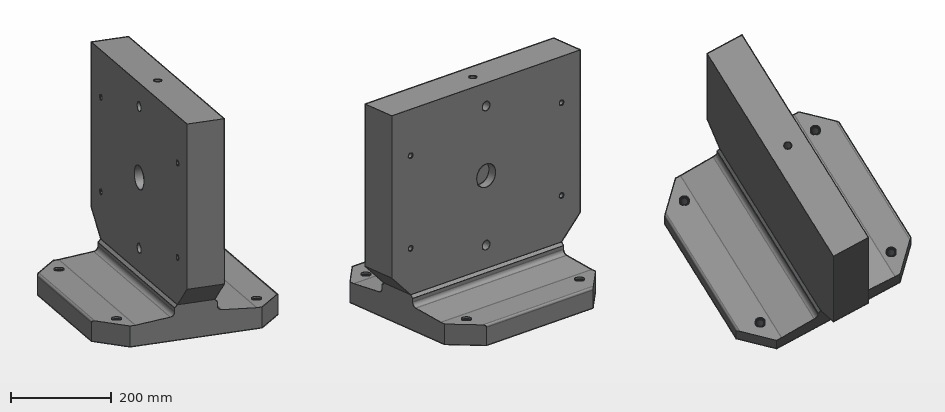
import math

import cadquery as cq

FOOT_SIZE = 400.0
PLATE_WIDTH = 500.0
PLATE_THICKNESS = 80.0
TOTAL_HEIGHT = 475.0

FOOT_HEIGHT = 44.5
FOOT_RIM_Y = 130.0
FOOT_SLOPE = math.radians(5.0)
FOOT_CORNER_CUT = FOOT_SIZE * (1 - 1 / math.sqrt(2)) / 2
FOOT_EDGE_RADIUS = 5.0

NECK_CHAMFER = 6.0
NECK_FILLET = 10.0
NECK_TOP = 75.0
NECK_HALF = PLATE_THICKNESS / 2 + NECK_CHAMFER

PLATE_CORNER_CUT = (PLATE_WIDTH - FOOT_SIZE) / 2
PLATE_CENTER_Z = (NECK_TOP + TOTAL_HEIGHT) / 2

BOLT_SPACING = 300.0
BOLT_RECESS_DIAMETER = 20.0
BOLT_RECESS_DEPTH = 4.0

BORE_DIAMETER = 50.0
BORE_DEPTH = 20.0
PIN_DIAMETER = 20.0
PIN_DEPTH = 30.0
PIN_SPACING = 300.0

DRILL_POINT_ANGLE = math.radians(118.0)
COUNTERSINK = 1.0
SMALL_TAP_DIAMETER = 10.0
LARGE_TAP_DIAMETER = 14.0
FACE_HOLE_DEPTH = 24.0
FACE_HOLE_SPACING_X = 400.0
FACE_HOLE_SPACING_Z = 200.0
LIFT_HOLE_DEPTH = 32.0

INWARD = cq.Vector(0, 1, 0)
DOWN = cq.Vector(0, 0, -1)

PICK_MARGIN = 1.0


def edges_along_x(y, z):
    """Selector for the full-length foot edge running along X at the given y and z."""
    half = FOOT_SIZE / 2
    return cq.selectors.BoxSelector(
        (-half, y - PICK_MARGIN, z - PICK_MARGIN),
        (half, y + PICK_MARGIN, z + PICK_MARGIN),
    )


def make_foot():
    """Sloped foot with the neck on top, its cross-section running along X."""
    half = FOOT_SIZE / 2
    slope_top = FOOT_HEIGHT + (FOOT_RIM_Y - NECK_HALF) * math.tan(FOOT_SLOPE)
    front_side = [
        (-half, 0),
        (-half, FOOT_HEIGHT),
        (-FOOT_RIM_Y, FOOT_HEIGHT),
        (-NECK_HALF, slope_top),
        (-NECK_HALF, NECK_TOP - NECK_CHAMFER),
        (-PLATE_THICKNESS / 2, NECK_TOP),
    ]
    back_side = [(-y, z) for y, z in reversed(front_side)]
    foot = cq.Workplane("YZ").polyline(front_side + back_side).close().extrude(half, both=True)

    for side in (-1, 1):
        foot = foot.edges(edges_along_x(side * NECK_HALF, slope_top)).fillet(NECK_FILLET)
        foot = foot.edges(edges_along_x(side * half, FOOT_HEIGHT)).fillet(FOOT_EDGE_RADIUS)

    outline = (
        cq.Workplane("XY")
        .rect(FOOT_SIZE, FOOT_SIZE)
        .extrude(NECK_TOP)
        .edges("|Z")
        .chamfer(FOOT_CORNER_CUT)
    )
    return foot.intersect(outline)


def make_plate():
    """Upright plate with its two lower corners cut off."""
    height = TOTAL_HEIGHT - NECK_TOP
    return (
        cq.Workplane("XY", origin=(0, 0, NECK_TOP))
        .box(PLATE_WIDTH, PLATE_THICKNESS, height, centered=(True, True, False))
        .edges("|Y and <Z")
        .chamfer(PLATE_CORNER_CUT)
    )


def drill(diameter, depth, position, direction):
    """Cutting tool for a tapped hole core with a countersunk mouth and a conical bottom."""
    radius = diameter / 2
    point = radius / math.tan(DRILL_POINT_ANGLE / 2)
    profile = [
        (0, 0),
        (radius + COUNTERSINK, 0),
        (radius, COUNTERSINK),
        (radius, depth),
        (0, depth + point),
    ]
    across = cq.Vector(1, 0, 0)
    plane = cq.Plane(origin=position, xDir=across, normal=across.cross(direction))
    return cq.Workplane(plane).polyline(profile).close().revolve(360, (0, 0), (0, 1))


def cut_bolt_holes(body):
    """Tapped through holes near the foot corners, each in a shallow round recess."""
    recess_floor = FOOT_HEIGHT - BOLT_RECESS_DEPTH
    for x in (-BOLT_SPACING / 2, BOLT_SPACING / 2):
        for y in (-BOLT_SPACING / 2, BOLT_SPACING / 2):
            floor_center = (x, y, recess_floor)
            recess = (
                cq.Workplane("XY", origin=floor_center)
                .circle(BOLT_RECESS_DIAMETER / 2)
                .extrude(BOLT_RECESS_DEPTH)
            )
            hole = drill(LARGE_TAP_DIAMETER, recess_floor, floor_center, DOWN)
            body = body.cut(recess).cut(hole)
    return body


def cut_plate_bores(body):
    """Central bore and two pin holes, blind from the front face."""
    front = cq.Workplane("XZ", origin=(0, -PLATE_THICKNESS / 2, PLATE_CENTER_Z))
    bore = front.circle(BORE_DIAMETER / 2).extrude(-BORE_DEPTH)
    pin_places = [(0, -PIN_SPACING / 2), (0, PIN_SPACING / 2)]
    pins = front.pushPoints(pin_places).circle(PIN_DIAMETER / 2).extrude(-PIN_DEPTH)
    return body.cut(bore).cut(pins)


def cut_tapped_holes(body):
    """Four holes in the front face and one lifting hole in the top."""
    for side in (-1, 1):
        for level in (-1, 1):
            place = (
                side * FACE_HOLE_SPACING_X / 2,
                -PLATE_THICKNESS / 2,
                PLATE_CENTER_Z + level * FACE_HOLE_SPACING_Z / 2,
            )
            body = body.cut(drill(SMALL_TAP_DIAMETER, FACE_HOLE_DEPTH, place, INWARD))
    top = (0, 0, TOTAL_HEIGHT)
    return body.cut(drill(LARGE_TAP_DIAMETER, LIFT_HOLE_DEPTH, top, DOWN))


body = make_foot().union(make_plate())
body = cut_bolt_holes(body)
body = cut_plate_bores(body)
result = cut_tapped_holes(body)